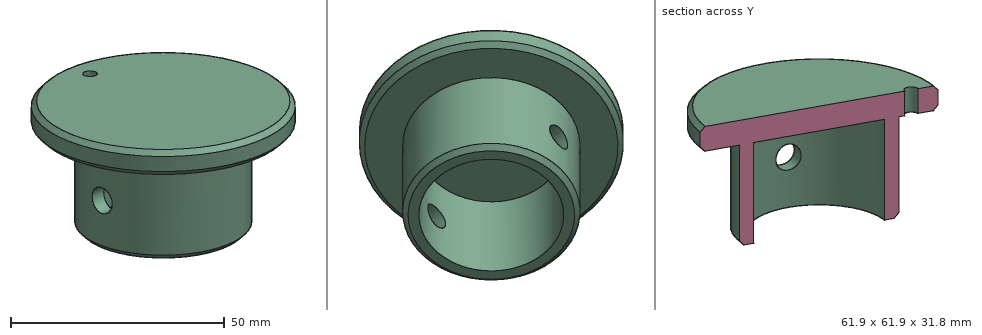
import cadquery as cq

total_height = 31.75
flange_diameter = 61.85
flange_thickness = 6.35
spigot_diameter = 41.53
spigot_length = total_height - flange_thickness
edge_chamfer = 1.27

bore_diameter = 33.91
bore_depth = spigot_length

cross_hole_diameter = 6.53
cross_hole_height = spigot_length / 2

flange_hole_diameter = 3.4
flange_hole_radius = 23.9


def make_spigot():
    spigot = cq.Workplane("XY").circle(spigot_diameter / 2).extrude(spigot_length)
    return spigot.faces("<Z").chamfer(edge_chamfer)


def make_flange():
    flange = (
        cq.Workplane("XY", origin=(0, 0, spigot_length))
        .circle(flange_diameter / 2)
        .extrude(flange_thickness)
    )
    return flange.faces("<Z or >Z").chamfer(edge_chamfer)


def make_bore():
    return cq.Workplane("XY").circle(bore_diameter / 2).extrude(bore_depth)


def make_cross_hole():
    return (
        cq.Workplane("XZ", origin=(0, 0, cross_hole_height))
        .circle(cross_hole_diameter / 2)
        .extrude(spigot_diameter / 2, both=True)
    )


def make_flange_hole():
    return (
        cq.Workplane("XY", origin=(-flange_hole_radius, 0, spigot_length))
        .circle(flange_hole_diameter / 2)
        .extrude(flange_thickness)
    )


body = make_spigot().union(make_flange())
result = body.cut(make_bore()).cut(make_cross_hole()).cut(make_flange_hole())